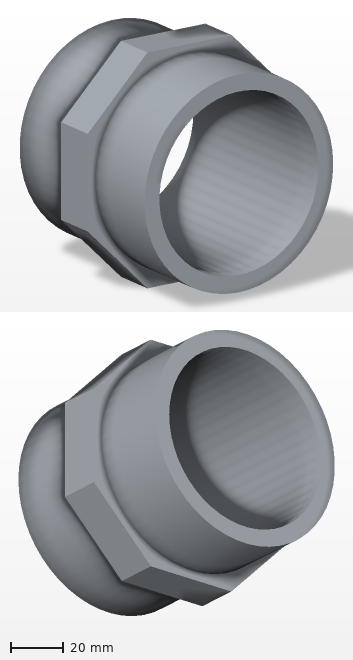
import cadquery as cq
import math

length = 85.0
outer_diameter = 87.9
bore_diameter = 74.0

collar_sides = 8
collar_across_flats = 95.0
collar_width = 18.05

half_side_angle = math.pi / collar_sides
collar_across_corners = collar_across_flats / math.cos(half_side_angle)

body = cq.Workplane("YZ").circle(outer_diameter / 2).extrude(length / 2, both=True)

collar = (
    cq.Workplane("YZ")
    .polygon(collar_sides, collar_across_corners)
    .extrude(collar_width / 2, both=True)
    .rotate((0, 0, 0), (1, 0, 0), math.degrees(half_side_angle))
)

bore = cq.Workplane("YZ").circle(bore_diameter / 2).extrude(length / 2, both=True)

result = body.union(collar).cut(bore)